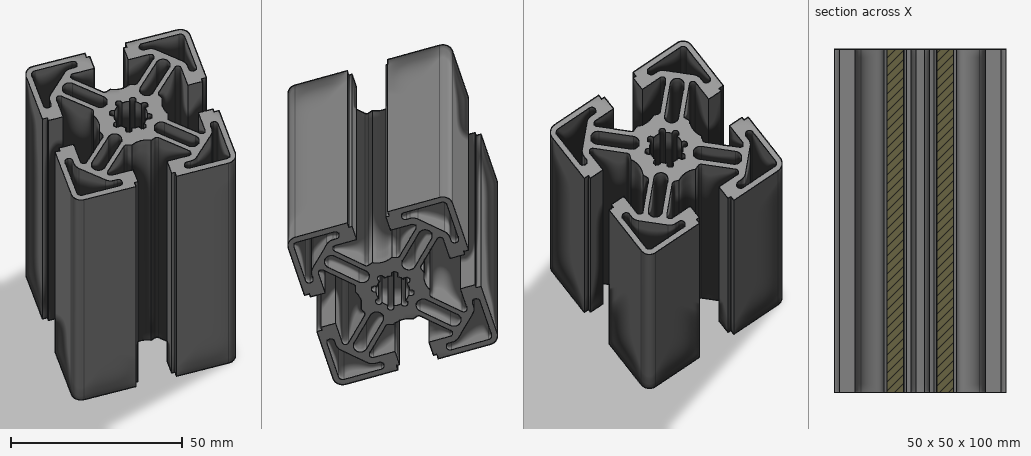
import cadquery as cq
import math

width = 50.0
length = 100.0
half_width = width / 2
corner_radius = 3.0
axis_count = 4

mouth_half_width = 6.15
lip_half_width = 5.15
mouth_step_depth = 1.5
lip_depth = 6.0
undercut_radius = 1.0
floor_corner_radius = 1.0
floor_peak_x = 2.95
floor_peak_y = 10.5
floor_middle_y = 9.75
floor_tilt = math.radians(20)

spoke_width = 7.0
spoke_slot_width = 4.1
spoke_slot_inner = 7.1
spoke_slot_outer = 14.25

outer_wall = 1.7
pocket_corner_radius = 1.3
pocket_finger_width = 2.3
pocket_finger_end = 9.55
pocket_tip_radius = 1.1
pocket_diagonal_sum = 34.0
pocket_bend_radius = 3.2

hole_radius = 4.85
lobe_angle = 23.5
lobe_radius = 0.95
lobe_pitch_radius = 5.3


def make_channel():
    """Cutter for the channel on the +Y side."""
    lip_underside = half_width - lip_depth
    wall_offset = spoke_width / math.sqrt(2)
    undercut_x = lip_underside - wall_offset
    slope = math.tan(floor_tilt)
    floor_corner_x = (floor_peak_y + slope * floor_peak_x - wall_offset) / (1 + slope)
    floor_corner_y = floor_corner_x + wall_offset

    right_side = [
        (floor_corner_x, floor_corner_y),
        (undercut_x, lip_underside),
        (lip_half_width, lip_underside),
        (lip_half_width, half_width - mouth_step_depth),
        (mouth_half_width, half_width - mouth_step_depth),
        (mouth_half_width, half_width),
    ]
    left_side = [(-x, y) for x, y in reversed(right_side)]
    channel = (
        cq.Workplane("XY")
        .moveTo(-floor_peak_x, floor_peak_y)
        .threePointArc((0, floor_middle_y), (floor_peak_x, floor_peak_y))
        .polyline(right_side + left_side, includeCurrent=True)
        .close()
        .extrude(length)
    )
    channel = channel.edges("|Z and (<X or >X)").fillet(undercut_radius)
    for side in (-1, 1):
        corner = (side * floor_corner_x, floor_corner_y, length / 2)
        channel = channel.edges(cq.NearestToPointSelector(corner)).fillet(floor_corner_radius)
    return channel


def make_corner_pocket():
    """Cutter for the hollow in the +X +Y corner."""
    outer = half_width - outer_wall
    inner = outer - pocket_finger_width
    bend = pocket_diagonal_sum - inner
    pocket = (
        cq.Workplane("XY")
        .polyline([
            (outer, outer),
            (pocket_finger_end, outer),
            (pocket_finger_end, inner),
            (bend, inner),
            (inner, bend),
            (inner, pocket_finger_end),
            (outer, pocket_finger_end),
        ])
        .close()
        .extrude(length)
    )
    pocket = pocket.edges("|Z and (<X or <Y)").fillet(pocket_tip_radius)
    for corner, radius in (
        ((outer, outer), pocket_corner_radius),
        ((bend, inner), pocket_bend_radius),
        ((inner, bend), pocket_bend_radius),
    ):
        selector = cq.NearestToPointSelector((*corner, length / 2))
        pocket = pocket.edges(selector).fillet(radius)
    return pocket


def make_spoke_slot():
    """Cutter for the slot along the +X +Y diagonal."""
    inner_distance = spoke_slot_inner * math.sqrt(2)
    outer_distance = spoke_slot_outer * math.sqrt(2)
    return (
        cq.Workplane("XY")
        .center((inner_distance + outer_distance) / 2, 0)
        .slot2D(outer_distance - inner_distance + spoke_slot_width, spoke_slot_width)
        .extrude(length)
        .rotate((0, 0, 0), (0, 0, 1), 45)
    )


def make_central_hole():
    """Cutter for the central hole and the lobes around it."""
    hole = cq.Workplane("XY").circle(hole_radius).extrude(length)
    for first_angle in (-lobe_angle, lobe_angle):
        lobes = (
            cq.Workplane("XY")
            .polarArray(lobe_pitch_radius, first_angle, 360, axis_count)
            .circle(lobe_radius)
            .extrude(length)
        )
        hole = hole.union(lobes)
    return hole


bar = cq.Workplane("XY").rect(width, width).extrude(length)
bar = bar.edges("|Z").fillet(corner_radius)
bar = bar.cut(make_central_hole())

for cutter in (make_channel(), make_corner_pocket(), make_spoke_slot()):
    for quarter in range(axis_count):
        bar = bar.cut(cutter.rotate((0, 0, 0), (0, 0, 1), quarter * 360 / axis_count))

result = bar